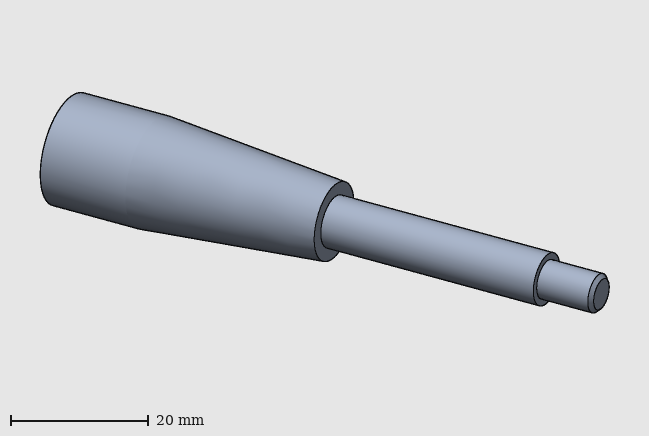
import cadquery as cq

overall_length = 89.0
grip_diameter = 17.0
taper_end_diameter = 12.0
rod_diameter = 8.0
tip_diameter = 6.0

dome_height = 0.8
taper_start = 14.95
taper_end = 44.8
rod_end = 79.9
tip_chamfer = 0.6

grip_radius = grip_diameter / 2
taper_end_radius = taper_end_diameter / 2
rod_radius = rod_diameter / 2
tip_radius = tip_diameter / 2

dome_radius = (grip_radius**2 + dome_height**2) / (2 * dome_height)
arc_middle_radius = grip_radius / 2
arc_middle_x = dome_radius - (dome_radius**2 - arc_middle_radius**2) ** 0.5

half_section = (
    cq.Workplane("XY")
    .moveTo(0, 0)
    .threePointArc((arc_middle_x, arc_middle_radius), (dome_height, grip_radius))
    .lineTo(taper_start, grip_radius)
    .lineTo(taper_end, taper_end_radius)
    .lineTo(taper_end, rod_radius)
    .lineTo(rod_end, rod_radius)
    .lineTo(rod_end, tip_radius)
    .lineTo(overall_length - tip_chamfer, tip_radius)
    .lineTo(overall_length, tip_radius - tip_chamfer)
    .lineTo(overall_length, 0)
    .close()
)

result = half_section.revolve(360, (0, 0, 0), (1, 0, 0))